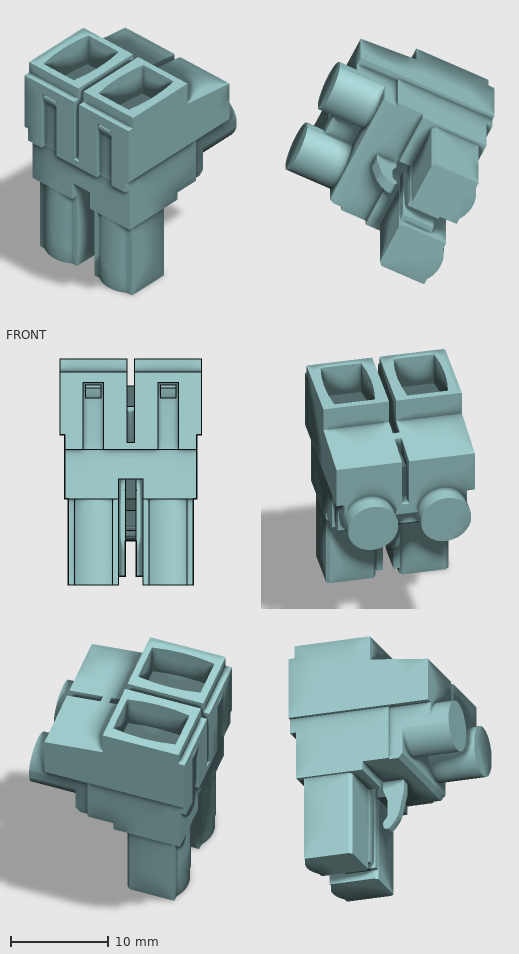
import cadquery as cq
import math


pole_pitch = 7.67
pole_centers = (-pole_pitch / 2, pole_pitch / 2)

total_height = 23.25
cap_width = 14.55
cap_bottom = 15.44
cap_rear = 14.6
tower_rear = 8.25
shoulder_front_height = 20.7
shoulder_rear_height = 19.93
lip_depth = 0.67
lip_top = 21.92
lip_bottom = 13.93

base_width = 13.58
base_rear = 10.1
base_bottom = 8.85
rear_base_bottom = 9.76
bottom_step_y = 7.25

tube_radius = 2.65
tube_flat_height = 1.0
tube_axis_height = 13.5
tube_end = 16.58
tube_root = 11.5
tube_half_width = math.sqrt(tube_radius**2 - (tube_flat_height / 2) ** 2)

rear_block_width = pole_pitch + 2 * tube_half_width
rear_block_chamfer = 0.49

sleeve_width = 2 * tube_half_width
sleeve_front = 0.75
sleeve_rear = 5.95
sleeve_rear_chamfer = 0.33
bulge_width = 3.9
bulge_height = 0.6

gap_width = pole_pitch - sleeve_width
gap_top = 10.93
rib_thickness = 0.67
rib_front = 2.49
rib_rear = 6.02
rib_bottom = 0.9

latch_width = gap_width - 2 * rib_thickness
latch_rear = 9.5
latch_neck_front = 7.72
latch_neck_top = 7.67
latch_neck_bottom = 6.1
latch_tip_front = bottom_step_y
latch_tip_bottom = 4.55

slot_width = 0.75
slot_end_floor = 14.67
slot_floor = 18.35
slot_end_length = 1.42
bridge_front = 10.02
bridge_rear = 10.93

groove_width = 2.1
groove_top = 20.83
groove_depth = 0.58
tooth_width = 1.6
tooth_top = 20.58
tooth_edge = 20.25
tooth_bottom = 19.23
tooth_height = 0.53

pocket_front = 0.77
pocket_rear = 7.58
pocket_end_width = 4.28
pocket_middle_width = 4.95
pocket_floor = 19.67
insert_height = 3.49
insert_rear_clearance = 0.1
insert_bottom = pocket_floor - insert_height


def box(x_range, y_range, z_range):
    """Return a box between the given limits."""
    size = [high - low for low, high in (x_range, y_range, z_range)]
    corner = (x_range[0], y_range[0], z_range[0])
    return cq.Workplane("XY").box(*size, centered=False).translate(corner)


def centered_box(width, y_range, z_range):
    """Return a box that is symmetric about X = 0."""
    return box((-width / 2, width / 2), y_range, z_range)


def extrude_side_profile(profile, width):
    """Extrude a closed (Y, Z) profile symmetrically about X = 0."""
    return profile.close().extrude(width / 2, both=True)


def make_cap():
    """Cap with two towers in front, a sloping shoulder behind and a lip on its front."""
    profile = cq.Workplane("YZ").polyline(
        [
            (0, cap_bottom),
            (0, total_height),
            (tower_rear, total_height),
            (tower_rear, shoulder_front_height),
            (cap_rear, shoulder_rear_height),
            (cap_rear, cap_bottom),
        ]
    )
    cap = extrude_side_profile(profile, cap_width)
    upper_lip = centered_box(cap_width, (-lip_depth, 0), (cap_bottom, lip_top))
    lower_lip = centered_box(base_width, (-lip_depth, 0), (lip_bottom, cap_bottom))
    return cap.union(upper_lip).union(lower_lip)


def make_base():
    """Stepped base with a narrower block behind it that carries the tubes."""
    base = centered_box(base_width, (0, base_rear), (rear_base_bottom, cap_bottom))
    front_foot = centered_box(base_width, (0, bottom_step_y), (base_bottom, rear_base_bottom))
    profile = cq.Workplane("YZ").polyline(
        [
            (base_rear, cap_bottom),
            (cap_rear, cap_bottom),
            (cap_rear, tube_axis_height),
            (tube_root, tube_axis_height),
            (tube_root, rear_base_bottom + rear_block_chamfer),
            (tube_root - rear_block_chamfer, rear_base_bottom),
            (base_rear, rear_base_bottom),
        ]
    )
    rear_block = extrude_side_profile(profile, rear_block_width)
    return base.union(front_foot).union(rear_block)


def make_tube(center_x):
    """Solid round stub along Y, cut flat at its left and right sides."""
    half_flat = tube_flat_height / 2
    return (
        cq.Workplane("XZ", origin=(center_x, tube_root, tube_axis_height))
        .moveTo(-tube_half_width, -half_flat)
        .lineTo(-tube_half_width, half_flat)
        .threePointArc((0, tube_radius), (tube_half_width, half_flat))
        .lineTo(tube_half_width, -half_flat)
        .threePointArc((0, -tube_radius), (-tube_half_width, -half_flat))
        .close()
        .extrude(tube_root - tube_end)
    )


def make_sleeve(center_x):
    """Contact sleeve with a round bulge in front and chamfered rear corners."""
    half_width = sleeve_width / 2
    chamfer_start = sleeve_rear - sleeve_rear_chamfer
    chamfer_end = half_width - sleeve_rear_chamfer
    return (
        cq.Workplane("XY", origin=(center_x, 0, 0))
        .moveTo(-half_width, sleeve_front)
        .lineTo(-bulge_width / 2, sleeve_front)
        .threePointArc((0, sleeve_front - bulge_height), (bulge_width / 2, sleeve_front))
        .lineTo(half_width, sleeve_front)
        .lineTo(half_width, chamfer_start)
        .lineTo(chamfer_end, sleeve_rear)
        .lineTo(-chamfer_end, sleeve_rear)
        .lineTo(-half_width, chamfer_start)
        .close()
        .extrude(base_bottom)
    )


def make_ribs():
    """Guide ribs on the inner sides of the sleeves."""
    outer = centered_box(gap_width, (rib_front, rib_rear), (rib_bottom, gap_top))
    inner = centered_box(latch_width, (rib_front, rib_rear), (rib_bottom, gap_top))
    return outer.cut(inner)


def make_latch():
    """Hook that hangs from the base and bends forward to a rounded tip."""
    profile = (
        cq.Workplane("YZ")
        .moveTo(latch_rear, rear_base_bottom)
        .lineTo(latch_rear, 8.49)
        .lineTo(9.02, 6.28)
        .threePointArc((8.6, 5.4), (7.85, latch_tip_bottom))
        .lineTo(7.5, latch_tip_bottom)
        .lineTo(7.32, 4.75)
        .lineTo(latch_tip_front, 5.0)
        .threePointArc((7.28, 5.35), (7.5, 5.63))
        .lineTo(7.63, 5.8)
        .threePointArc((7.7, 5.93), (latch_neck_front, latch_neck_bottom))
        .lineTo(latch_neck_front, latch_neck_top)
        .lineTo(bottom_step_y, base_bottom)
        .lineTo(bottom_step_y, rear_base_bottom)
    )
    return extrude_side_profile(profile, latch_width)


def make_slot():
    """Tool for the slot between the poles, deeper at its ends and bridged in the middle."""
    front = -lip_depth
    front_end_range = (front, front + slot_end_length)
    rear_end_range = (cap_rear - slot_end_length, cap_rear)
    front_slot = centered_box(slot_width, (front, bridge_front), (slot_floor, total_height))
    rear_slot = centered_box(slot_width, (bridge_rear, cap_rear), (slot_floor, total_height))
    tower_gap = centered_box(slot_width, (front, tower_rear), (shoulder_front_height, total_height))
    front_end = centered_box(slot_width, front_end_range, (slot_end_floor, total_height))
    rear_end = centered_box(slot_width, rear_end_range, (slot_end_floor, total_height))
    return front_slot.union(rear_slot).union(tower_gap).union(front_end).union(rear_end)


def make_groove(center_x):
    """Tool for the groove in the front lip, open at the bottom."""
    groove = centered_box(
        groove_width, (-lip_depth, groove_depth - lip_depth), (lip_bottom, groove_top)
    )
    return groove.translate((center_x, 0, 0))


def make_tooth(center_x):
    """Wedge on the back of a groove, flat on top and sloping back below."""
    root = groove_depth - lip_depth
    profile = cq.Workplane("YZ").polyline(
        [
            (root, tooth_bottom),
            (root, tooth_top),
            (root - tooth_height, tooth_top),
            (root - tooth_height, tooth_edge),
        ]
    )
    return extrude_side_profile(profile, tooth_width).translate((center_x, 0, 0))


def make_barrel_prism(center_x, y_range, z_range):
    """Upright prism with flat front and rear and outward-curved sides."""
    front, rear = y_range
    middle = (front + rear) / 2
    half_end = pocket_end_width / 2
    half_middle = pocket_middle_width / 2
    return (
        cq.Workplane("XY", origin=(center_x, 0, z_range[0]))
        .moveTo(-half_end, front)
        .lineTo(half_end, front)
        .threePointArc((half_middle, middle), (half_end, rear))
        .lineTo(-half_end, rear)
        .threePointArc((-half_middle, middle), (-half_end, front))
        .close()
        .extrude(z_range[1] - z_range[0])
    )


def make_housing():
    """Housing with everything except the inserts."""
    housing = make_cap().union(make_base())
    gap = centered_box(gap_width, (0, bottom_step_y), (base_bottom, gap_top))
    housing = housing.cut(gap).cut(make_slot())
    housing = housing.union(make_ribs()).union(make_latch())
    for center_x in pole_centers:
        pocket = make_barrel_prism(
            center_x, (pocket_front, pocket_rear), (insert_bottom, total_height)
        )
        housing = housing.cut(pocket).cut(make_groove(center_x))
        housing = housing.union(make_tooth(center_x))
        housing = housing.union(make_tube(center_x)).union(make_sleeve(center_x))
    return housing


def make_insert(center_x):
    """Clamp insert that fills the lower pocket, with a narrow clearance at its rear."""
    heights = (insert_bottom, pocket_floor)
    insert = make_barrel_prism(center_x, (pocket_front, pocket_rear), heights)
    clearance = centered_box(
        pocket_middle_width, (pocket_rear - insert_rear_clearance, pocket_rear), heights
    )
    return insert.cut(clearance.translate((center_x, 0, 0)))


housing = make_housing()
inserts = [make_insert(center_x) for center_x in pole_centers]

result = cq.Compound.makeCompound([housing.val(), *[insert.val() for insert in inserts]])